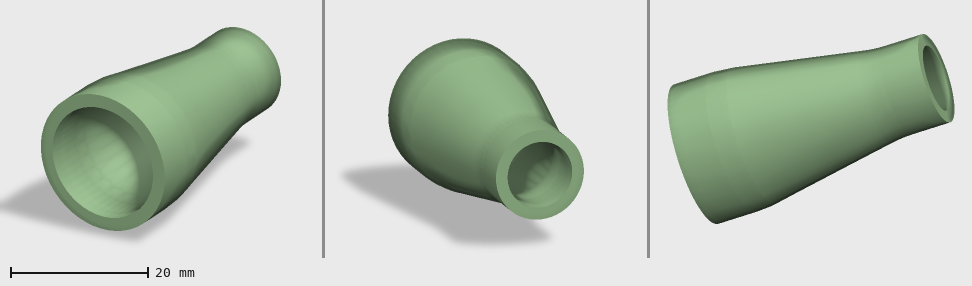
import cadquery as cq
import math

length = 38.0
wide_outer_diameter = 21.3
wide_bore_diameter = 17.3
narrow_outer_diameter = 13.5
narrow_bore_diameter = 9.9

collar_length = 6.0
outer_blend_radius = 19.0

wide_wall = (wide_outer_diameter - wide_bore_diameter) / 2
narrow_wall = (narrow_outer_diameter - narrow_bore_diameter) / 2
wide_bore_blend_radius = outer_blend_radius - wide_wall
narrow_bore_blend_radius = outer_blend_radius + narrow_wall

wide_end = -length / 2
narrow_end = length / 2
taper_start = wide_end + collar_length
taper_end = narrow_end - collar_length


def reducer_body(wide_diameter, narrow_diameter, wide_blend_radius, narrow_blend_radius):
    """Solid of revolution: stub, tangent arc, cone, tangent arc, stub."""
    wide_radius = wide_diameter / 2
    narrow_radius = narrow_diameter / 2

    radius_sum = wide_blend_radius + narrow_blend_radius
    run = taper_end - taper_start
    rise = radius_sum - (wide_radius - narrow_radius)
    side_length = math.sqrt(run**2 + rise**2 - radius_sum**2)
    cone_angle = math.atan2(run, rise) - math.atan2(side_length, radius_sum)

    def wide_blend_point(angle):
        drop = wide_blend_radius * (1 - math.cos(angle))
        return wide_radius - drop, taper_start + wide_blend_radius * math.sin(angle)

    def narrow_blend_point(angle):
        drop = narrow_blend_radius * (1 - math.cos(angle))
        return narrow_radius + drop, taper_end - narrow_blend_radius * math.sin(angle)

    return (
        cq.Workplane("XY")
        .moveTo(0, wide_end)
        .lineTo(wide_radius, wide_end)
        .lineTo(wide_radius, taper_start)
        .threePointArc(wide_blend_point(cone_angle / 2), wide_blend_point(cone_angle))
        .lineTo(*narrow_blend_point(cone_angle))
        .threePointArc(narrow_blend_point(cone_angle / 2), narrow_blend_point(0))
        .lineTo(narrow_radius, narrow_end)
        .lineTo(0, narrow_end)
        .close()
        .revolve(360, (0, 0, 0), (0, 1, 0))
    )


outside = reducer_body(
    wide_outer_diameter, narrow_outer_diameter, outer_blend_radius, outer_blend_radius
)
bore = reducer_body(
    wide_bore_diameter, narrow_bore_diameter, wide_bore_blend_radius, narrow_bore_blend_radius
)

result = outside.cut(bore)